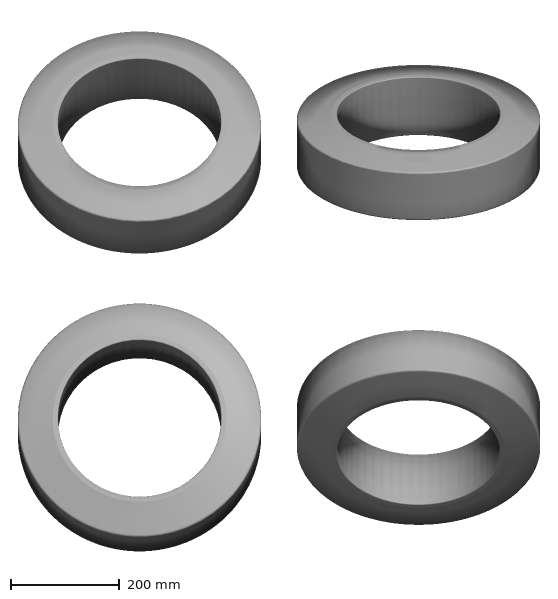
import cadquery as cq
import math

outer_radius = 224.0
joint_radius = 160.0
bore_radius = 150.0
height = 120.0
cone_angle = 10.0
rim_rounding = 4.0
bore_rounding = 2.0

half_height = height / 2
cone_drop = (outer_radius - joint_radius) * math.tan(math.radians(cone_angle))
rim_half_height = half_height - cone_drop


def make_sleeve():
    """Plain cylindrical sleeve with rounded bore edges."""
    sleeve = (
        cq.Workplane("XY", origin=(0, 0, -half_height))
        .circle(joint_radius)
        .circle(bore_radius)
        .extrude(height)
    )
    bore_edges = sleeve.edges(cq.selectors.RadiusNthSelector(0))
    return bore_edges.fillet(bore_rounding)


def make_outer_ring():
    """Ring around the sleeve, sloping down from the joint to a rounded rim."""
    section = cq.Workplane("XZ").polyline([
        (joint_radius, -half_height),
        (outer_radius, -rim_half_height),
        (outer_radius, rim_half_height),
        (joint_radius, half_height),
    ]).close()
    ring = section.revolve(360, (0, 0, 0), (0, 1, 0))
    rim_edges = ring.edges(cq.selectors.RadiusNthSelector(-1))
    return rim_edges.fillet(rim_rounding)


sleeve = make_sleeve()
outer_ring = make_outer_ring()

result = cq.Compound.makeCompound([sleeve.val(), outer_ring.val()])